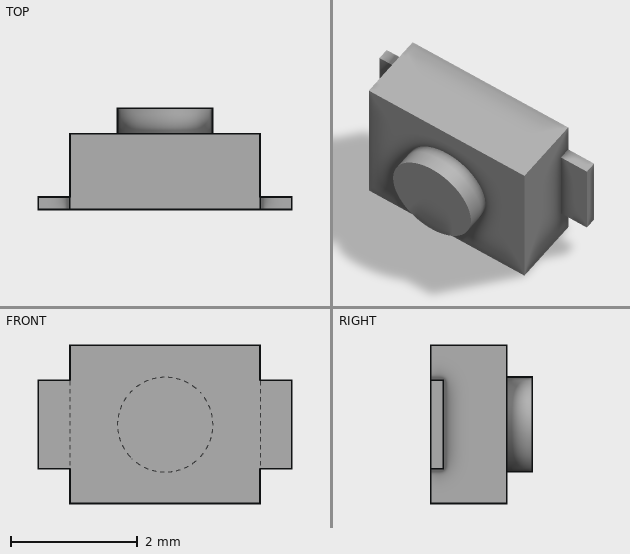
import cadquery as cq

total_width = 4.0
total_depth = 1.6

body_width = 3.0
body_depth = 1.2
body_height = 2.5

button_diameter = 1.5
button_depth = total_depth - body_depth

terminal_thickness = 0.2
terminal_height = 1.4


def front_aligned_block(width, depth, height):
    """Block centred in X and Z that extends from Y = 0 toward +Y."""
    return cq.Workplane("XY").box(width, depth, height, centered=(True, False, True))


body = front_aligned_block(body_width, body_depth, body_height)

terminals = front_aligned_block(total_width, terminal_thickness, terminal_height)

button = (
    cq.Workplane("XZ", origin=(0, body_depth, 0))
    .circle(button_diameter / 2)
    .extrude(-button_depth)
)

result = body.union(terminals).union(button)